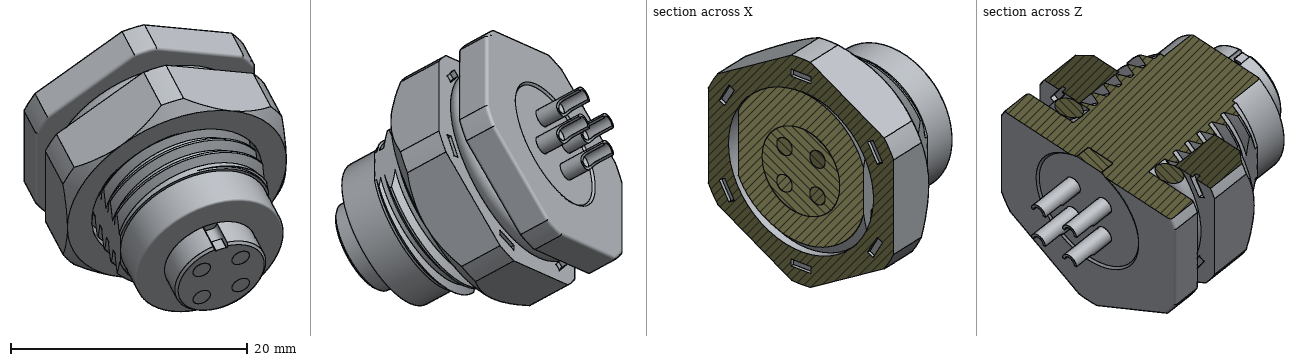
import cadquery as cq
import math


FLANGE_BACK = 4.2
FLANGE_LENGTH = 3.0
FLANGE_FRONT = FLANGE_BACK + FLANGE_LENGTH
RING_SECTION = 2.0
NUT_BACK = FLANGE_FRONT + RING_SECTION
NUT_LENGTH = 4.99
THREAD_END = 17.95
COLLAR_BACK = 18.17
COLLAR_FRONT = 21.65
INSERT_FRONT = 24.2

ACROSS_FLATS = 20.0
HEXAGON_SIDES = 6
CORNER_ANGLE = 180 / HEXAGON_SIDES
CORNER_DIAMETER = 22.0
FLANGE_EDGE = 0.3
NUT_CHAMFER = (CORNER_DIAMETER - ACROSS_FLATS) / 2

NUT_SLOT_RADIUS = 9.22
NUT_SLOT_WIDTH = 0.63
NUT_SLOT_LENGTH = 2.05
NUT_SLOT_DEPTH = 0.48

COLLAR_DIAMETER = 13.5
COLLAR_EDGE = 0.2
ROOT_RADIUS = 7.0
CREST_RADIUS = 7.77
PITCH = 1.5
CREST_WIDTH = 0.2
FLANK_ANGLE = math.radians(30)
THREAD_SINK = 0.15
THREAD_START = 8.75
THREAD_HALF_TURNS = 14
THREAD_RUNOUT = 0.53

DISC_DIAMETER = 11.35
DISC_LENGTH = 1.45
BORE_CHAMFER = 0.2
POST_DIAMETER = 8.3
POST_CHAMFER = 0.22
KEYWAY_WIDTH = 1.23
KEYWAY_FLOOR = 3.48
KEYWAY_FILLET = 0.5
STOP_WIDTH = 0.95
STOP_LENGTH = 1.05
STOP_TOP = 3.73
STOP_SINK = 0.25

PIN_DIAMETER = 1.6
PIN_SPACING = 3.55
CUP_DIAMETER = 1.1
CUP_DEPTH = 2.42
CUP_OPEN_LENGTH = 1.65
CUP_POINT_HALF_ANGLE = math.radians(60)


def cylinder(diameter, x_start, x_end):
    """Cylinder along X between two stations."""
    return cq.Workplane("YZ", origin=(x_start, 0, 0)).circle(diameter / 2).extrude(x_end - x_start)


def box(x_range, y_range, z_range):
    """Box from its lower and upper limit along each axis."""
    spans = [high - low for low, high in (x_range, y_range, z_range)]
    corner = (x_range[0], y_range[0], z_range[0])
    return cq.Workplane("XY").box(*spans, centered=False).translate(corner)


def revolve_about_axis(points):
    """Solid turned about X from (x, radius) points."""
    return cq.Workplane("XY").polyline(points).close().revolve(360, (0, 0, 0), (1, 0, 0))


def hexagon(x_start, length):
    """Hexagonal prism with corners at top and bottom, its corners turned round."""
    corner_to_corner = ACROSS_FLATS / math.cos(math.radians(CORNER_ANGLE))
    prism = (
        cq.Workplane("YZ", origin=(x_start, 0, 0))
        .transformed(rotate=(0, 0, CORNER_ANGLE))
        .polygon(HEXAGON_SIDES, corner_to_corner)
        .extrude(length)
    )
    return prism.intersect(cylinder(CORNER_DIAMETER, x_start, x_start + length))


def between_flats(x_start, x_end):
    """Block that reaches from one barrel flat to the other, and clear of the thread above and below."""
    half_width = COLLAR_DIAMETER / 2
    half_height = CREST_RADIUS + PITCH
    return box((x_start, x_end), (-half_width, half_width), (-half_height, half_height))


def make_half_turn():
    """Ridge over the -Z half of the barrel, rising along +X and trimmed to the two flats."""
    sunk_radius = ROOT_RADIUS - THREAD_SINK
    half_crest = CREST_WIDTH / 2
    half_base = half_crest + (CREST_RADIUS - sunk_radius) * math.tan(FLANK_ANGLE)
    path = cq.Wire.makeHelix(PITCH, PITCH / 2, sunk_radius)
    ridge = (
        cq.Workplane("XZ")
        .polyline([
            (sunk_radius, -half_base),
            (CREST_RADIUS, -half_crest),
            (CREST_RADIUS, half_crest),
            (sunk_radius, half_base),
        ])
        .close()
        .sweep(cq.Workplane(path), isFrenet=True)
        .rotate((0, 0, 0), (0, 0, 1), -90)
        .rotate((0, 0, 0), (0, 1, 0), 90)
        .translate((-PITCH / 4, 0, 0))
    )
    return ridge.intersect(between_flats(-PITCH, PITCH))


def add_thread(core):
    """Core with half-turn ridges on alternate sides, within the threaded length and its end chamfer."""
    far_radius = CREST_RADIUS + PITCH
    runout_slope = (CREST_RADIUS - ROOT_RADIUS) / THREAD_RUNOUT
    limits = revolve_about_axis([
        (NUT_BACK, 0),
        (NUT_BACK, far_radius),
        (THREAD_END - (far_radius - ROOT_RADIUS) / runout_slope, far_radius),
        (THREAD_END + ROOT_RADIUS / runout_slope, 0),
    ])
    half_turn = make_half_turn()
    threaded = core
    for step in range(THREAD_HALF_TURNS):
        place = (THREAD_START + step * PITCH / 2, 0, 0)
        ridge = half_turn.rotate((0, 0, 0), (1, 0, 0), 180 * step).translate(place)
        threaded = threaded.union(ridge.intersect(limits))
    return threaded


def make_housing():
    """Hexagonal flange, threaded barrel with two flats, and collar."""
    flange = hexagon(FLANGE_BACK, FLANGE_LENGTH)
    flange = flange.faces("<X or >X").edges().fillet(FLANGE_EDGE)

    core = cylinder(2 * ROOT_RADIUS, FLANGE_FRONT, COLLAR_BACK)
    barrel = core.intersect(between_flats(FLANGE_FRONT, COLLAR_BACK))
    barrel = add_thread(barrel)

    collar = cylinder(COLLAR_DIAMETER, COLLAR_BACK, COLLAR_FRONT).faces(">X").edges().fillet(COLLAR_EDGE)
    body = flange.union(barrel).union(collar)

    disc_seat = FLANGE_BACK + BORE_CHAMFER
    disc_radius = DISC_DIAMETER / 2
    post_radius = POST_DIAMETER / 2
    bore = revolve_about_axis([
        (FLANGE_BACK, 0),
        (FLANGE_BACK, disc_radius + BORE_CHAMFER),
        (disc_seat, disc_radius),
        (disc_seat + DISC_LENGTH, disc_radius),
        (disc_seat + DISC_LENGTH, post_radius),
        (COLLAR_FRONT, post_radius),
        (COLLAR_FRONT, 0),
    ])
    return body.cut(bore)


def make_o_ring():
    """O-ring seated on the thread root between the flange and the nut."""
    section_radius = RING_SECTION / 2
    return (
        cq.Workplane("XY")
        .moveTo(FLANGE_FRONT + section_radius, ROOT_RADIUS + section_radius)
        .circle(section_radius)
        .revolve(360, (0, 0, 0), (1, 0, 0))
    )


def make_nut():
    """Hexagonal nut, chamfered at the front, slotted at the back."""
    nut_front = NUT_BACK + NUT_LENGTH
    corner_radius = CORNER_DIAMETER / 2
    chamfered = revolve_about_axis([
        (NUT_BACK, 0),
        (NUT_BACK, corner_radius),
        (nut_front - NUT_CHAMFER, corner_radius),
        (nut_front, corner_radius - NUT_CHAMFER),
        (nut_front, 0),
    ])
    slots = (
        cq.Workplane("YZ", origin=(NUT_BACK, 0, 0))
        .polarArray(NUT_SLOT_RADIUS, CORNER_ANGLE, 360, HEXAGON_SIDES)
        .rect(NUT_SLOT_WIDTH, NUT_SLOT_LENGTH)
        .extrude(NUT_SLOT_DEPTH)
    )
    bore = cylinder(2 * CREST_RADIUS, NUT_BACK, nut_front)
    return hexagon(NUT_BACK, NUT_LENGTH).intersect(chamfered).cut(bore).cut(slots)


def pin_places():
    """(y, z) of the four pins, on a square about the axis."""
    half = PIN_SPACING / 2
    return [(y, z) for y in (-half, half) for z in (-half, half)]


def make_insert():
    """Contact carrier: retaining disc at the back and keyed post at the front."""
    disc_back = FLANGE_BACK + BORE_CHAMFER
    disc = cylinder(DISC_DIAMETER, disc_back, disc_back + DISC_LENGTH)
    post = cylinder(POST_DIAMETER, disc_back, INSERT_FRONT).faces(">X").edges().chamfer(POST_CHAMFER)

    post_radius = POST_DIAMETER / 2
    half_key = KEYWAY_WIDTH / 2
    keyway = box((COLLAR_FRONT, INSERT_FRONT), (-half_key, half_key), (KEYWAY_FLOOR, post_radius))
    keyway = keyway.edges("|X and <Z").fillet(KEYWAY_FILLET)

    half_stop = STOP_WIDTH / 2
    stop_base = KEYWAY_FLOOR - STOP_SINK
    stop = box(
        (INSERT_FRONT - STOP_LENGTH, INSERT_FRONT), (-half_stop, half_stop), (stop_base, STOP_TOP)
    )
    pin_holes = (
        cq.Workplane("YZ", origin=(disc_back, 0, 0))
        .pushPoints(pin_places())
        .circle(PIN_DIAMETER / 2)
        .extrude(INSERT_FRONT - disc_back)
    )
    return disc.union(post).cut(keyway).union(stop).cut(pin_holes)


def make_pin(y, z):
    """Contact pin with a solder cup whose lower half is cut away at the end."""
    pin_radius = PIN_DIAMETER / 2
    cup_radius = CUP_DIAMETER / 2
    cup_point = CUP_DEPTH + cup_radius / math.tan(CUP_POINT_HALF_ANGLE)
    cup = revolve_about_axis([
        (0, 0),
        (0, cup_radius),
        (CUP_DEPTH, cup_radius),
        (cup_point, 0),
    ])
    arc_middle = pin_radius * math.sin(math.radians(45))
    opening = (
        cq.Workplane("XZ")
        .lineTo(CUP_OPEN_LENGTH, 0)
        .threePointArc(
            (CUP_OPEN_LENGTH + arc_middle, arc_middle - pin_radius),
            (CUP_OPEN_LENGTH + pin_radius, -pin_radius),
        )
        .lineTo(0, -pin_radius)
        .close()
        .extrude(pin_radius, both=True)
    )
    pin = cylinder(PIN_DIAMETER, 0, INSERT_FRONT).cut(cup).cut(opening)
    return pin.translate((0, y, z))


housing = make_housing()
o_ring = make_o_ring()
nut = make_nut()
insert = make_insert()
pins = [make_pin(y, z).solids().val() for y, z in pin_places()]

result = cq.Compound.makeCompound(
    [housing.solids().val(), o_ring.val(), nut.solids().val(), insert.solids().val(), *pins]
)